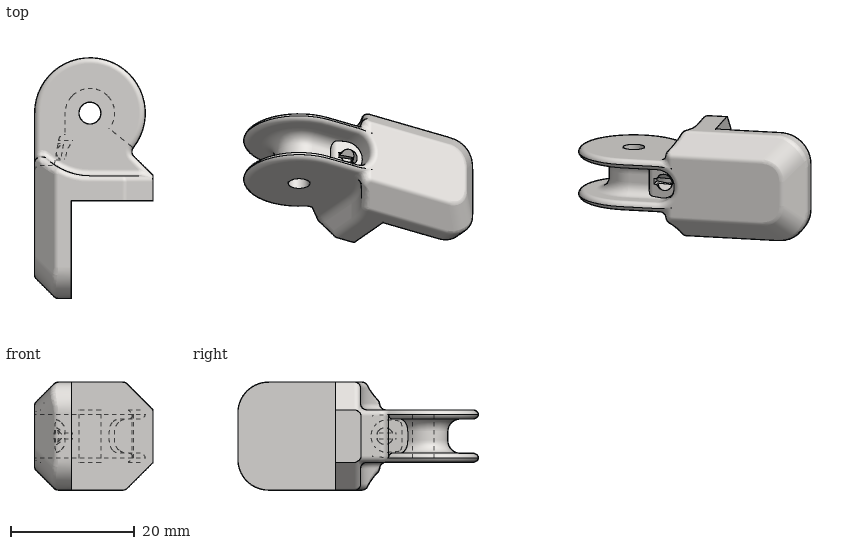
import cadquery as cq
import math

DISC_RADIUS = 9.0
DISC_HALF_HEIGHT = 4.25
PIN_HOLE_RADIUS = 1.75
EDGE_RADIUS = 1.0
NECK_RADIUS = 1.0
NECK_END_Y = -10.05

BODY_HALF_HEIGHT = 8.75
WALL_RADIUS = 10.13
WALL_TIP_RADIUS = 1.2
PLATE_BACK_Y = -14.2
PLATE_END_X = 10.23
PLATE_CHAMFER = BODY_HALF_HEIGHT - DISC_HALF_HEIGHT
LEG_OUTER_X = -DISC_RADIUS
LEG_INNER_X = -3.0
LEG_END_Y = -29.98
LEG_CHAMFER = 3.5
LEG_CORNER_RADIUS = 5.0
CHAMFER_ANGLE = 45.0
BODY_LENGTH_X = PLATE_END_X - LEG_OUTER_X

GROOVE_FLOOR_RADIUS = 4.0
GROOVE_HALF_WIDTH = 2.75
GROOVE_CORNER_RADIUS = 2.0
GROOVE_MOUTH_RADIUS = 12.0
GROOVE_END_Y = -5.7

ANCHOR_START_Y = -3.45
ANCHOR_CORNER_X = -4.9
ANCHOR_TILT = math.radians(10)
ANCHOR_END_Y = -12.0

SEAT_Y = -6.2
SEAT_RADIUS = 1.35
SLOT_HALF_WIDTH = 0.47
SLOT_START_Y = -4.42
SLOT_BEND_Y = -5.65
SLOT_CREST_Y = -6.5
SLOT_END_Y = -7.4
SLOT_END_DEPTH = 1.5
SLOT_STEEP_SLOPE = math.tan(math.radians(29))
SLOT_MEAN_SLOPE = math.tan(math.radians(18.5))

CLEAR = 40.0

TIP_X = LEG_OUTER_X + WALL_TIP_RADIUS
TIP_Y = -math.sqrt((WALL_RADIUS + WALL_TIP_RADIUS) ** 2 - TIP_X**2)
TIP_ANGLE = math.atan2(TIP_Y, TIP_X)

NECK_ANGLE = math.atan2(NECK_END_Y, PLATE_END_X)
NECK_CENTRE_DISTANCE = DISC_RADIUS + NECK_RADIUS
NECK_DISC_ANGLE = NECK_ANGLE + math.asin(NECK_RADIUS / NECK_CENTRE_DISTANCE)
NECK_START_DISTANCE = math.sqrt(NECK_CENTRE_DISTANCE**2 - NECK_RADIUS**2)


def polar(radius, angle):
    return radius * math.cos(angle), radius * math.sin(angle)


def slab(outline, half_height):
    return outline.extrude(half_height, both=True)


def nearest_edges(solid, points):
    """The edge of the solid nearest to each point, together in one selection."""
    chosen = [solid.edges(cq.NearestToPointSelector(point)).val() for point in points]
    return solid.newObject(chosen)


def leg_envelope():
    """Block with rounded end corners and a chamfered, rounded outer side."""
    width = -2 * LEG_END_Y
    height = 2 * BODY_HALF_HEIGHT
    rounded = (
        cq.Workplane("YZ", origin=(LEG_OUTER_X, 0, 0))
        .rect(width, height)
        .extrude(BODY_LENGTH_X)
        .edges("|X")
        .fillet(LEG_CORNER_RADIUS)
    )
    spread = 2 * (BODY_LENGTH_X - LEG_CHAMFER)
    tapered = (
        cq.Workplane("YZ", origin=(PLATE_END_X, 0, 0))
        .rect(width + spread, height + spread)
        .extrude(-BODY_LENGTH_X, taper=CHAMFER_ANGLE)
        .edges("not(#X)")
        .fillet(LEG_CORNER_RADIUS)
    )
    return rounded.intersect(tapered)


def plate_envelope():
    """Block whose +X end is chamfered above and below."""
    return (
        cq.Workplane("XY", origin=((PLATE_END_X + LEG_OUTER_X) / 2, 0, 0))
        .box(BODY_LENGTH_X, -2 * LEG_END_Y, 2 * BODY_HALF_HEIGHT)
        .edges(">X and |Y")
        .chamfer(PLATE_CHAMFER)
    )


def wall_prism():
    """Everything behind the curved wall that faces the disc."""
    outline = (
        cq.Workplane("XY")
        .moveTo(LEG_OUTER_X, -CLEAR)
        .lineTo(LEG_OUTER_X, TIP_Y)
        .tangentArcPoint(polar(WALL_RADIUS, TIP_ANGLE), relative=False)
        .threePointArc(polar(WALL_RADIUS, (TIP_ANGLE - math.pi / 2) / 2), (0, -WALL_RADIUS))
        .lineTo(PLATE_END_X, -WALL_RADIUS)
        .lineTo(PLATE_END_X, -CLEAR)
        .close()
    )
    return slab(outline, BODY_HALF_HEIGHT)


def rounded_edges(block):
    """One edge from each chain of edges that is rounded; the rounding follows the smooth chain."""
    ridge_x = LEG_OUTER_X + LEG_CHAMFER
    chamfer_x = PLATE_END_X - PLATE_CHAMFER
    mid_y = (LEG_END_Y + PLATE_BACK_Y) / 2
    seeds = [
        (LEG_OUTER_X, mid_y, BODY_HALF_HEIGHT - LEG_CHAMFER),
        (ridge_x, LEG_END_Y, 0),
    ]
    corner_inset = LEG_CORNER_RADIUS * (1 - math.sqrt(0.5))
    for side in (-1, 1):
        top = side * BODY_HALF_HEIGHT
        seeds += [
            (ridge_x, mid_y, top),
            (ridge_x, LEG_END_Y + corner_inset, top - side * corner_inset),
            (chamfer_x, mid_y, top),
            (chamfer_x / 2, -WALL_RADIUS, top),
            (PLATE_END_X - PLATE_CHAMFER / 2, -WALL_RADIUS, top - side * PLATE_CHAMFER / 2),
        ]
    return nearest_edges(block, seeds)


def make_body():
    block = leg_envelope().intersect(plate_envelope()).intersect(wall_prism())
    block = rounded_edges(block).fillet(EDGE_RADIUS)
    inner_space = cq.Workplane("XY").box(CLEAR, CLEAR, CLEAR, centered=(False, False, True))
    return block.cut(inner_space.translate((LEG_INNER_X, PLATE_BACK_Y - CLEAR, 0)))


def make_disc():
    root_y = (PLATE_BACK_Y - WALL_RADIUS) / 2
    outline = (
        cq.Workplane("XY")
        .moveTo(-DISC_RADIUS, root_y)
        .lineTo(-DISC_RADIUS, 0)
        .threePointArc((0, DISC_RADIUS), polar(DISC_RADIUS, NECK_DISC_ANGLE))
        .tangentArcPoint(polar(NECK_START_DISTANCE, NECK_ANGLE), relative=False)
        .lineTo(root_y / math.tan(NECK_ANGLE), root_y)
        .close()
    )
    disc = slab(outline, DISC_HALF_HEIGHT).faces("|Z").edges("not(<Y)").fillet(EDGE_RADIUS)
    limit = cq.Workplane("XY").box(CLEAR, 2 * CLEAR, CLEAR)
    return disc.intersect(limit.translate((PLATE_END_X - CLEAR / 2, 0, 0)))


def join_with_root_fillet(body, disc):
    """Unite the body and the disc, with a concave fillet where the wall rises from the disc faces."""
    hinge = body.union(disc)
    root_y = -math.sqrt(WALL_RADIUS**2 - LEG_INNER_X**2)
    roots = [(LEG_INNER_X, root_y, side * DISC_HALF_HEIGHT) for side in (-1, 1)]
    return nearest_edges(hinge, roots).fillet(EDGE_RADIUS)


def groove_profile(plane):
    """Half section of the groove: radius along local x, rope width along local y."""
    floor = GROOVE_FLOOR_RADIUS
    wall = GROOVE_HALF_WIDTH
    corner = GROOVE_CORNER_RADIUS
    mouth = wall + EDGE_RADIUS
    return (
        cq.Workplane(plane)
        .moveTo(floor, 0)
        .lineTo(floor, wall - corner)
        .tangentArcPoint((floor + corner, wall), relative=False)
        .lineTo(DISC_RADIUS - EDGE_RADIUS, wall)
        .tangentArcPoint((DISC_RADIUS, mouth), relative=False)
        .lineTo(GROOVE_MOUTH_RADIUS, mouth)
        .lineTo(GROOVE_MOUTH_RADIUS, 0)
        .close()
    )


def anchor_face_x(y):
    return ANCHOR_CORNER_X + (y - ANCHOR_START_Y) * math.tan(ANCHOR_TILT)


def anchor_block():
    """Block left standing in the groove, with a rounded leading edge and a tilted face."""
    outline = (
        cq.Workplane("XY")
        .moveTo(0, ANCHOR_START_Y)
        .lineTo(ANCHOR_CORNER_X, ANCHOR_START_Y)
        .lineTo(anchor_face_x(ANCHOR_END_Y), ANCHOR_END_Y)
        .lineTo(0, ANCHOR_END_Y)
        .close()
    )
    block = slab(outline, DISC_HALF_HEIGHT)
    return nearest_edges(block, [(ANCHOR_CORNER_X, ANCHOR_START_Y, 0)]).fillet(EDGE_RADIUS)


def groove():
    """Groove from the neck around the disc, then straight along the leg side to a rounded end."""
    turn_start = cq.Plane(origin=(0, 0, 0), xDir=(-1, 0, 0), normal=(0, 1, 0))
    run_end = cq.Plane(origin=(0, GROOVE_END_Y, 0), xDir=(-1, 0, 0), normal=(0, 1, 0))
    sweep = 180 - math.degrees(NECK_DISC_ANGLE)
    turn = groove_profile(turn_start).revolve(sweep, (0, 0), (0, -1))
    run = groove_profile(run_end).extrude(-GROOVE_END_Y)
    upper = turn.union(run)
    rounded_end = groove_profile(run_end).revolve(360, (0, 0), (1, 0))
    space = upper.union(upper.mirror("XY")).union(rounded_end)
    return space.cut(anchor_block())


def rope_seat():
    """Round V-shaped recess in the anchor face; the V runs along the face."""
    face_x = anchor_face_x(SEAT_Y)
    across = cq.Plane(
        origin=(face_x, SEAT_Y, 0),
        xDir=(0, 0, 1),
        normal=(-math.sin(ANCHOR_TILT), -math.cos(ANCHOR_TILT), 0),
    )
    reach = 2 * SEAT_RADIUS
    section = [(-reach, SEAT_RADIUS), (reach, SEAT_RADIUS), (0, -SEAT_RADIUS)]
    vee = slab(cq.Workplane(across).polyline(section).close(), reach)
    rim = cq.Workplane("YZ", origin=(face_x, SEAT_Y, 0)).circle(SEAT_RADIUS)
    return vee.intersect(slab(rim, reach))


def rope_slot():
    """Narrow slot along the face whose floor deepens in a gentle S towards the disc."""
    end_x = anchor_face_x(SLOT_END_Y) + SLOT_END_DEPTH
    crest_x = end_x + (SLOT_CREST_Y - SLOT_END_Y) * SLOT_MEAN_SLOPE
    bend_x = crest_x + (SLOT_BEND_Y - SLOT_CREST_Y) * SLOT_MEAN_SLOPE
    start_x = bend_x + (SLOT_START_Y - SLOT_BEND_Y) * SLOT_STEEP_SLOPE
    outline = (
        cq.Workplane("XY")
        .moveTo(anchor_face_x(SLOT_START_Y), SLOT_START_Y)
        .lineTo(start_x, SLOT_START_Y)
        .lineTo(bend_x, SLOT_BEND_Y)
        .tangentArcPoint((crest_x, SLOT_CREST_Y), relative=False)
        .tangentArcPoint((end_x, SLOT_END_Y), relative=False)
        .lineTo(anchor_face_x(SLOT_END_Y), SLOT_END_Y)
        .close()
    )
    return slab(outline, SLOT_HALF_WIDTH)


def pin_hole():
    return slab(cq.Workplane("XY").circle(PIN_HOLE_RADIUS), BODY_HALF_HEIGHT)


hinge = join_with_root_fillet(make_body(), make_disc())
for cutter in (groove(), rope_seat(), rope_slot(), pin_hole()):
    hinge = hinge.cut(cutter)

result = hinge